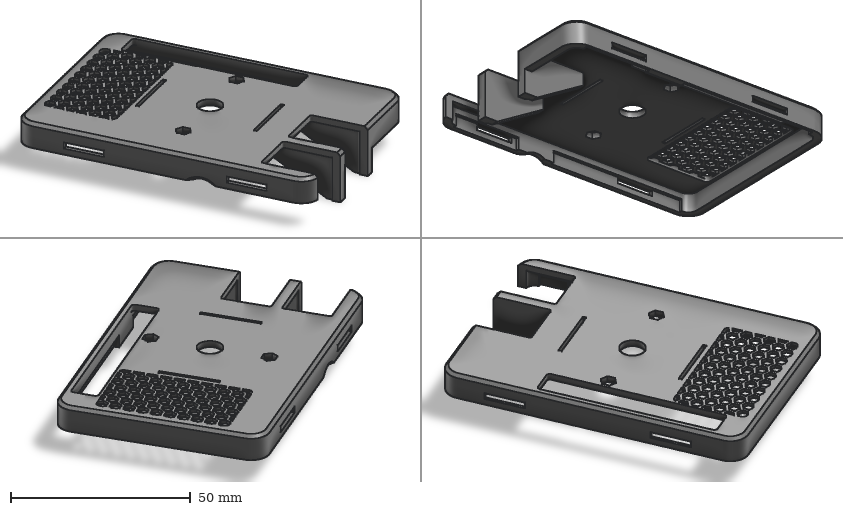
import cadquery as cq
import math

length = 91.0
width = 62.0
shell_height = 7.8
corner_radius = 5.5
top_chamfer = 1.0
wall = 2.5
plate_thickness = 2.0
plate_bottom = shell_height - plate_thickness
half_length = length / 2
half_width = width / 2
inner_half_length = half_length - wall
inner_half_width = half_width - wall

notch_start_x = 27.9
notch_corner_radius = 0.7
upper_notch = (-8.55, 6.4)
lower_notch = (-26.3, -11.65)
leg_depth = 7.55
leg_recess = 0.6
leg_fillet = 0.9
gusset_thickness = 2.3
gusset_start_x = 24.8
gusset_rim_x = 27.9
gusset_toe_x = 41.1

window_x = (-37.0, 17.0)
window_front_y = 20.5
window_corner_radius = 1.0
centre_hole_diameter = 7.5
hex_hole_flats = 4.0
hex_hole_offset = 17.5
strap_slot_length = 17.9
strap_slot_width = 1.0
strap_slot_offset = 18.1

vent_x = (-42.1, -20.1)
vent_half_width = 19.6
vent_corner_radius = 1.5
cell_flats = 3.0
cell_web = 1.0
vent_thickness = 1.0
cell_pitch = cell_flats + cell_web
column_pitch = cell_pitch * math.sqrt(3) / 2
first_column_x = -40.8
column_count = 7
cells_per_column = 10

clip_slot_length = 12.2
clip_slot_height = 1.9
clip_slot_bottom = 1.9
clip_slot_offsets = (-24.3, 25.7)
clip_slot_top = clip_slot_bottom + clip_slot_height
jack_x = 11.65
jack_z = -4.55
jack_outer_radius = 6.5
jack_inner_radius = 5.5
jack_chamfer_depth = 1.0
back_lip_depth = 1.55
front_lip_depth = 1.0
lip_pad_half_length = 6.2


def box(x_range, y_range, z_range):
    """Axis-aligned block given by its limits."""
    size = [high - low for low, high in (x_range, y_range, z_range)]
    corner = (x_range[0], y_range[0], z_range[0])
    return cq.Workplane("XY").box(*size, centered=False).translate(corner)


def hexagon_prisms(points, flats):
    """Hexagonal cutters through the plate, with two corners along X."""
    corner_diameter = flats * 2 / math.sqrt(3)
    sketch = cq.Workplane("XY", origin=(0, 0, plate_bottom)).pushPoints(points)
    return sketch.polygon(6, corner_diameter).extrude(plate_thickness)


def shell():
    """Tray with rounded corners and a chamfered top edge."""
    body = cq.Workplane("XY").box(length, width, shell_height, centered=(True, True, False))
    body = body.edges("|Z").fillet(corner_radius)
    body = body.faces(">Z").edges().chamfer(top_chamfer)
    cavity = cq.Workplane("XY").box(
        2 * inner_half_length, 2 * inner_half_width, plate_bottom, centered=(True, True, False)
    )
    return body.cut(cavity.edges("|Z").fillet(corner_radius - wall))


def gusset_slope_z(x):
    """Height of the sloped lower edge of a gusset."""
    return -leg_depth * (x - gusset_rim_x) / (gusset_toe_x - gusset_rim_x)


def leg(front_y, back_y):
    """End post with a sloped gusset, recessed and filleted on the -Y side of the post."""
    profile = [
        (gusset_start_x, plate_bottom),
        (half_length, plate_bottom),
        (half_length, -leg_depth),
        (gusset_toe_x, -leg_depth),
        (gusset_rim_x, 0),
        (gusset_start_x, gusset_slope_z(gusset_start_x)),
    ]
    blank = cq.Workplane("XZ", origin=(0, back_y, 0)).polyline(profile).close()
    blank = blank.extrude(back_y - front_y)
    gusset_y = front_y + leg_recess
    recess = box(
        (gusset_start_x, inner_half_length),
        (gusset_y - 2 * leg_fillet, gusset_y),
        (-leg_depth, plate_bottom),
    )
    return blank.cut(recess.edges("|Z and >X and >Y").fillet(leg_fillet))


def port_notch(y_range):
    """Opening for one port, running out through the +X end."""
    cutter = box((notch_start_x, half_length), y_range, (0, shell_height))
    return cutter.edges("|Z and <X").fillet(notch_corner_radius)


def window():
    """Long opening along the inner face of the +Y wall."""
    cutter = box(window_x, (window_front_y, inner_half_width), (plate_bottom, shell_height))
    return cutter.edges("|Z").fillet(window_corner_radius)


def honeycomb():
    """Staggered hexagonal cells in a rounded rectangle, with the plate thinned from below."""
    points = []
    for column in range(column_count):
        cells = cells_per_column + column % 2
        for row in range(cells):
            y = (row - (cells - 1) / 2) * cell_pitch
            points.append((first_column_x + column * column_pitch, y))
    y_range = (-vent_half_width, vent_half_width)
    vent_bottom = shell_height - vent_thickness
    field = box(vent_x, y_range, (plate_bottom, shell_height)).edges("|Z").fillet(vent_corner_radius)
    pocket = box(vent_x, y_range, (plate_bottom, vent_bottom)).edges("|Z").fillet(vent_corner_radius)
    return hexagon_prisms(points, cell_flats).intersect(field).union(pocket)


def clip_slots():
    """Side slots through both long walls."""
    sketch = cq.Workplane("XZ").pushPoints(
        [(x, clip_slot_bottom + clip_slot_height / 2) for x in clip_slot_offsets]
    )
    return sketch.rect(clip_slot_length, clip_slot_height).extrude(half_width, both=True)


def lip_recess(depth):
    """Step along the rim inside the +Y wall, interrupted by a full-thickness pad."""
    straight_end = half_length - corner_radius
    y_range = (inner_half_width, inner_half_width + depth)
    left = box((-straight_end, jack_x - lip_pad_half_length), y_range, (0, clip_slot_top))
    right = box((jack_x + lip_pad_half_length, straight_end), y_range, (0, clip_slot_top))
    return left.union(right)


def jack_relief():
    """Round relief in the rim of the -Y wall, with a conical mouth."""
    axis = cq.Vector(0, 1, 0)
    centre = cq.Vector(jack_x, -half_width, jack_z)
    mouth = cq.Solid.makeCone(jack_outer_radius, jack_inner_radius, jack_chamfer_depth, centre, axis)
    bore = cq.Solid.makeCylinder(jack_inner_radius, wall, centre, axis)
    return cq.Workplane(mouth).union(cq.Workplane(bore))


result = shell().cut(lip_recess(back_lip_depth))
result = result.cut(lip_recess(front_lip_depth).mirror("XZ"))
result = result.cut(clip_slots()).cut(jack_relief())

for notch in (upper_notch, lower_notch):
    result = result.cut(port_notch(notch))

upper_leg_front = upper_notch[1]
result = result.union(leg(upper_leg_front, upper_leg_front + leg_recess + gusset_thickness))
result = result.union(leg(lower_notch[1], upper_notch[0]))

result = result.cut(window()).cut(honeycomb())

centre_hole = cq.Workplane("XY").circle(centre_hole_diameter / 2).extrude(shell_height)
hex_points = [(0, -hex_hole_offset), (0, hex_hole_offset)]
result = result.cut(centre_hole).cut(hexagon_prisms(hex_points, hex_hole_flats))

strap_points = [(-strap_slot_offset, 0), (strap_slot_offset, 0)]
strap_slots = cq.Workplane("XY", origin=(0, 0, plate_bottom)).pushPoints(strap_points)
result = result.cut(strap_slots.rect(strap_slot_width, strap_slot_length).extrude(plate_thickness))